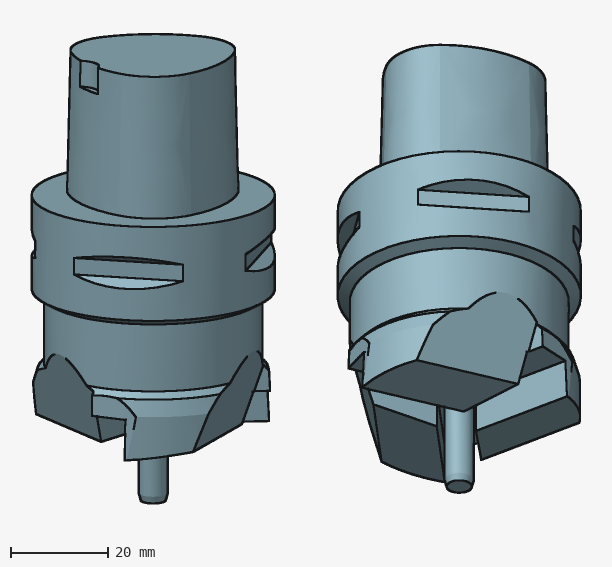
import cadquery as cq
import math

shank_height = 30.0
flange_bottom = -20.0
head_bottom = -50.0
pin_bottom = -65.0

lobe_reach = 18.5
flat_reach = 16.35
lobe_radius = 12.0
shank_taper = 0.7
lobe_angles = (90, 210, 330)
lobe_to_side = 60.0

notch_radius = 4.6
notch_inner_y = -13.9
notch_depth = 5.5

flange_radius = 25.0
body_radius = 22.5
flange_bevel_angle = 30.0
flange_bevel_height = (flange_radius - body_radius) * math.tan(math.radians(flange_bevel_angle))

groove_angles = (45, 135, 225, 315)
groove_centre_z = -10.0
groove_floor_width = 3.5
groove_floor_reach = 22.2
groove_side_angle = 30.0

head_top = -35.7
head_rim_z = -37.1
head_rim_radius = 23.8
head_full_z = -40.6
head_radius = 24.85

tooth_angles = (90, 213.5, 333)
seat_front = 2.9
slot_front = 3.2
slot_back = -4.7
slot_ceiling = -41.45
seat_flat_reach = 23.65
seat_flat_slope = 0.05

heel_v = -17.25
heel_z = -48.35
gullet_slope = 0.3

pin_radius = 6.01 / 2
pin_chamfer_height = 1.5
pin_tip_radius = 2.6

reach = 40.0
overlap = 1.0


def polar(radius, degrees):
    angle = math.radians(degrees)
    return radius * math.cos(angle), radius * math.sin(angle)


def shank_outline(inset, z):
    """Wire of tangent arcs: three lobes joined by three flatter sides."""
    lobe_centre = lobe_reach - lobe_radius
    gap = flat_reach - lobe_radius
    side_centre = (lobe_centre**2 - gap**2) / (2 * gap - lobe_centre)
    side_radius = side_centre + flat_reach
    across = lobe_centre * math.sin(math.radians(lobe_to_side))
    along = lobe_centre * math.cos(math.radians(lobe_to_side)) + side_centre
    joint_turn = math.degrees(math.atan2(across, along))
    joint_x = (side_radius - inset) * math.cos(math.radians(joint_turn)) - side_centre
    joint_y = (side_radius - inset) * math.sin(math.radians(joint_turn))
    joint_reach = math.hypot(joint_x, joint_y)
    half_side = math.degrees(math.atan2(joint_y, joint_x))
    half_lobe = lobe_to_side - half_side

    outline = cq.Workplane("XY", origin=(0, 0, z))
    outline = outline.moveTo(*polar(joint_reach, lobe_angles[0] - half_lobe))
    for lobe in lobe_angles:
        side = lobe + lobe_to_side
        outline = outline.threePointArc(
            polar(lobe_reach - inset, lobe), polar(joint_reach, lobe + half_lobe)
        )
        outline = outline.threePointArc(
            polar(flat_reach - inset, side), polar(joint_reach, side + half_side)
        )
    return outline.close().wires().val()


def make_shank():
    base = shank_outline(0, 0)
    top = shank_outline(shank_taper, shank_height)
    shank = cq.Workplane(cq.Solid.makeLoft([base, top], True))
    notch = (
        cq.Workplane("XY", origin=(0, notch_inner_y - notch_radius, shank_height - notch_depth))
        .circle(notch_radius)
        .extrude(notch_depth + overlap)
    )
    return shank.cut(notch)


def make_body():
    """Flange, body and uncut head as one revolved solid."""
    return (
        cq.Workplane("XZ")
        .polyline(
            [
                (0, 0),
                (flange_radius, 0),
                (flange_radius, flange_bottom),
                (body_radius, flange_bottom - flange_bevel_height),
                (body_radius, head_top),
                (head_rim_radius, head_rim_z),
                (head_radius, head_full_z),
                (head_radius, head_bottom),
                (0, head_bottom),
            ]
        )
        .close()
        .revolve(360, (0, 0, 0), (0, 1, 0))
    )


def make_groove(angle):
    """Straight groove with a flat floor and flaring sides, across the flange rim."""
    half_floor = groove_floor_width / 2
    depth = flange_radius + overlap - groove_floor_reach
    half_mouth = half_floor + depth * math.tan(math.radians(groove_side_angle))
    mouth_reach = groove_floor_reach + depth
    return (
        cq.Workplane("XZ")
        .polyline(
            [
                (groove_floor_reach, groove_centre_z - half_floor),
                (mouth_reach, groove_centre_z - half_mouth),
                (mouth_reach, groove_centre_z + half_mouth),
                (groove_floor_reach, groove_centre_z + half_floor),
            ]
        )
        .close()
        .extrude(reach, both=True)
        .rotate((0, 0, 0), (0, 0, 1), angle)
    )


def place_tooth(shape, tooth_angle):
    """Turn a shape drawn with u along +X and v along -Y to the given direction of v."""
    return shape.rotate((0, 0, 0), (0, 0, 1), tooth_angle + 90)


def ahead_of_seat(tooth_angle):
    """Everything in front of a tooth's seat wall."""
    block = cq.Workplane("XY").box(2 * reach, reach, 2 * reach, centered=(True, False, True))
    block = block.translate((0, -seat_front - reach, head_bottom))
    return place_tooth(block, tooth_angle)


def make_seat(tooth_angle):
    """Insert seat: a flat on the rim and a slot below it that reaches the axis."""
    cut_bottom = head_bottom - overlap
    bottom_reach = seat_flat_reach + seat_flat_slope * (head_rim_z - cut_bottom)
    top_reach = seat_flat_reach - seat_flat_slope * (head_top - head_rim_z)
    flat = (
        cq.Workplane("XZ", origin=(0, -seat_front, 0))
        .polyline(
            [
                (top_reach, head_top),
                (reach, head_top),
                (reach, cut_bottom),
                (bottom_reach, cut_bottom),
            ]
        )
        .close()
        .extrude(-reach)
    )
    slot = (
        cq.Workplane("XY", origin=(0, -slot_front, cut_bottom))
        .rect(reach, slot_front - slot_back, centered=False)
        .extrude(slot_ceiling - cut_bottom)
    )
    return place_tooth(flat.union(slot), tooth_angle)


def make_tooth_back(tooth_angle, next_tooth_angle):
    """Bottom clearance and gullet behind a tooth, ending at the seat wall of the next tooth."""
    cut_bottom = head_bottom - overlap
    gullet_top_v = -flange_radius
    gullet_top_z = heel_z + (heel_v - gullet_top_v) / gullet_slope
    back = (
        cq.Workplane("YZ")
        .polyline(
            [
                (-slot_back, cut_bottom),
                (-slot_back, head_bottom),
                (-heel_v, heel_z),
                (-gullet_top_v, gullet_top_z),
                (reach, gullet_top_z),
                (reach, cut_bottom),
            ]
        )
        .close()
        .extrude(reach, both=True)
    )
    return place_tooth(back, tooth_angle).intersect(ahead_of_seat(next_tooth_angle))


def make_pin():
    return (
        cq.Workplane("XZ")
        .polyline(
            [
                (0, slot_ceiling + overlap),
                (pin_radius, slot_ceiling + overlap),
                (pin_radius, pin_bottom + pin_chamfer_height),
                (pin_tip_radius, pin_bottom),
                (0, pin_bottom),
            ]
        )
        .close()
        .revolve(360, (0, 0, 0), (0, 1, 0))
    )


body = make_body()
for groove_angle in groove_angles:
    body = body.cut(make_groove(groove_angle))

for index, tooth_angle in enumerate(tooth_angles):
    next_tooth_angle = tooth_angles[(index + 1) % len(tooth_angles)]
    body = body.cut(make_tooth_back(tooth_angle, next_tooth_angle))
    body = body.cut(make_seat(tooth_angle))

result = body.union(make_shank()).union(make_pin())